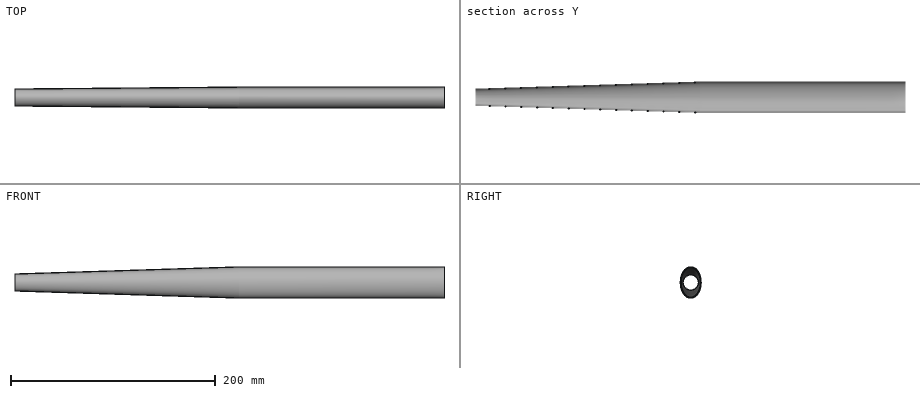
import cadquery as cq

total_length = 420.0
sleeve_length = 200.8

tip_diameter = 17.0
wall = 1.0

sleeve_width = 20.5
sleeve_height = 30.5

taper_length = total_length - sleeve_length
tip_x = -total_length / 2
seam_x = tip_x + taper_length


def oval_bar(inset):
    """Round tip blending into a straight oval bar, with every section inset all round."""
    tip_radius = tip_diameter / 2 - inset
    half_width = sleeve_width / 2 - inset
    half_height = sleeve_height / 2 - inset
    taper = (
        cq.Workplane("YZ", origin=(tip_x, 0, 0))
        .ellipse(tip_radius, tip_radius)
        .workplane(offset=taper_length)
        .ellipse(half_width, half_height)
        .loft(ruled=True)
    )
    sleeve = (
        cq.Workplane("YZ", origin=(seam_x, 0, 0))
        .ellipse(half_width, half_height)
        .extrude(sleeve_length)
    )
    return taper.union(sleeve)


outer_body = oval_bar(0)
bore = oval_bar(wall)
result = outer_body.cut(bore)